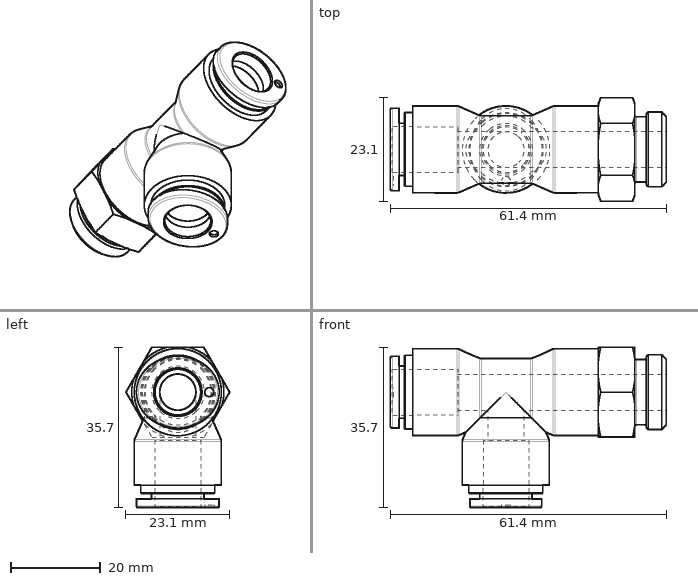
import cadquery as cq
import math

BORE_RADIUS = 8.0 / 2
SHELL_RADIUS = 19.4 / 2
WAIST_RADIUS = 15.0 / 2
CONE_INNER = 5.65
CONE_OUTER = 10.65
CONE_BLEND = 1.15
SOCKET_ARM = 20.7
STUD_ARM = 20.6

SOCKET_RADIUS = 10.15 / 2
SOCKET_BOTTOM = CONE_OUTER

COLLAR_RADIUS = 16.5 / 2
COLLAR_LENGTH = 1.85
COLLAR_CHAMFER = 0.2

RING_BORE_RADIUS = 10.2 / 2
RING_NECK_RADIUS = 11.7 / 2
RING_NECK_LENGTH = 1.2
RING_LONG_RADIUS = 18.4 / 2
RING_SHORT_RADIUS = 16.0 / 2
RING_FLANGE_LENGTH = 1.95
RING_EDGE_FILLET = 0.4
RING_MOUTH_CHAMFER = 0.3
DOT_RADIUS = 2.0 / 2
DOT_OFFSET = 7.0
DOT_DEPTH = 0.7

HEX_ACROSS_FLATS = 20.0
HEX_LENGTH = 8.1
HEX_FACE_RADIUS = 10.25
HEX_CHAMFER_DEPTH = 0.5
STUD_NECK_RADIUS = 14.6 / 2
STUD_NECK_LENGTH = 2.5
STUD_NECK_FILLET = 0.25
THREAD_RADIUS = 16.66 / 2
THREAD_LENGTH = 4.5
THREAD_INNER_CHAMFER = 0.45


def revolve_about_x(points):
    """Revolve a closed (x, radius) outline about the X axis."""
    return cq.Workplane("XY").polyline(points).close().revolve(360, (0, 0, 0), (1, 0, 0))


def x_cylinder(start, end, radius):
    return cq.Workplane("YZ").workplane(offset=start).circle(radius).extrude(end - start)


def turn_to_branch(shape):
    """Carry a shape from the -X arm to the -Z branch."""
    return shape.rotate((0, 0, 0), (0, 1, 0), -90)


def blend_edges(tube, x_first, x_last):
    """Fillet the round edges of a tube that lie between two X positions."""
    reach = 2 * SHELL_RADIUS
    zone = cq.selectors.BoxSelector(
        (x_first - CONE_BLEND, -reach, -reach),
        (x_last + CONE_BLEND, reach, reach),
    )
    return tube.edges("%CIRCLE").edges(zone).fillet(CONE_BLEND)


def make_main_tube():
    tube = revolve_about_x([
        (-SOCKET_ARM, 0),
        (-SOCKET_ARM, SHELL_RADIUS),
        (-CONE_OUTER, SHELL_RADIUS),
        (-CONE_INNER, WAIST_RADIUS),
        (CONE_INNER, WAIST_RADIUS),
        (CONE_OUTER, SHELL_RADIUS),
        (STUD_ARM, SHELL_RADIUS),
        (STUD_ARM, 0),
    ])
    return blend_edges(tube, -CONE_OUTER, CONE_OUTER)


def make_branch_tube():
    tube = revolve_about_x([
        (-SOCKET_ARM, 0),
        (-SOCKET_ARM, SHELL_RADIUS),
        (-CONE_OUTER, SHELL_RADIUS),
        (-CONE_INNER, WAIST_RADIUS),
        (0, WAIST_RADIUS),
        (0, 0),
    ])
    return turn_to_branch(blend_edges(tube, -CONE_OUTER, -CONE_OUTER))


def make_housing():
    main_bore = x_cylinder(-SOCKET_ARM, STUD_ARM, BORE_RADIUS)
    branch_bore = turn_to_branch(x_cylinder(-SOCKET_ARM, 0, BORE_RADIUS))
    socket = x_cylinder(-SOCKET_ARM, -SOCKET_BOTTOM, SOCKET_RADIUS)
    housing = make_main_tube().union(make_branch_tube())
    for cutter in (main_bore, branch_bore, socket, turn_to_branch(socket)):
        housing = housing.cut(cutter)
    return housing


def make_collar():
    outer_face = -SOCKET_ARM - COLLAR_LENGTH
    collar = x_cylinder(outer_face, -SOCKET_ARM, COLLAR_RADIUS)
    collar = collar.faces("<X").edges().chamfer(COLLAR_CHAMFER)
    return collar.cut(x_cylinder(outer_face, -SOCKET_ARM, RING_BORE_RADIUS))


def make_release_ring():
    neck_end = -SOCKET_ARM - COLLAR_LENGTH
    flange_back = neck_end - RING_NECK_LENGTH
    flange_front = flange_back - RING_FLANGE_LENGTH
    flange = (
        cq.Workplane("YZ").workplane(offset=flange_front)
        .ellipse(RING_LONG_RADIUS, RING_SHORT_RADIUS)
        .extrude(RING_FLANGE_LENGTH)
        .faces("<X").edges().fillet(RING_EDGE_FILLET)
    )
    ring = flange.union(x_cylinder(flange_back, neck_end, RING_NECK_RADIUS))
    ring = ring.cut(x_cylinder(flange_front, neck_end, RING_BORE_RADIUS))
    ring = ring.faces("<X").edges("%CIRCLE").chamfer(RING_MOUTH_CHAMFER)
    dot = x_cylinder(flange_front, flange_front + DOT_DEPTH, DOT_RADIUS)
    return ring.cut(dot.translate((0, -DOT_OFFSET, 0)))


def make_hexagon():
    corner_radius = HEX_ACROSS_FLATS / math.sqrt(3)
    hex_end = STUD_ARM + HEX_LENGTH
    prism = (
        cq.Workplane("YZ").workplane(offset=STUD_ARM)
        .polygon(6, 2 * corner_radius)
        .extrude(HEX_LENGTH)
    )
    chamfer_envelope = revolve_about_x([
        (STUD_ARM, 0),
        (STUD_ARM, HEX_FACE_RADIUS),
        (STUD_ARM + HEX_CHAMFER_DEPTH, corner_radius),
        (hex_end - HEX_CHAMFER_DEPTH, corner_radius),
        (hex_end, HEX_FACE_RADIUS),
        (hex_end, 0),
    ])
    return prism.intersect(chamfer_envelope)


def make_spigot():
    neck_start = STUD_ARM + HEX_LENGTH
    thread_start = neck_start + STUD_NECK_LENGTH
    thread_end = thread_start + THREAD_LENGTH
    end_chamfer = THREAD_RADIUS - STUD_NECK_RADIUS
    arc_rise = STUD_NECK_FILLET * (1 - math.sqrt(0.5))
    fillet_top = STUD_NECK_RADIUS + STUD_NECK_FILLET
    return (
        cq.Workplane("XY").moveTo(neck_start, 0)
        .lineTo(neck_start, fillet_top)
        .threePointArc(
            (neck_start + arc_rise, STUD_NECK_RADIUS + arc_rise),
            (neck_start + STUD_NECK_FILLET, STUD_NECK_RADIUS),
        )
        .lineTo(thread_start - STUD_NECK_FILLET, STUD_NECK_RADIUS)
        .threePointArc(
            (thread_start - arc_rise, STUD_NECK_RADIUS + arc_rise),
            (thread_start, fillet_top),
        )
        .lineTo(thread_start, THREAD_RADIUS - THREAD_INNER_CHAMFER)
        .lineTo(thread_start + THREAD_INNER_CHAMFER, THREAD_RADIUS)
        .lineTo(thread_end - end_chamfer, THREAD_RADIUS)
        .lineTo(thread_end, STUD_NECK_RADIUS)
        .lineTo(thread_end, 0)
        .close()
        .revolve(360, (0, 0, 0), (1, 0, 0))
    )


def make_stud():
    stud_end = STUD_ARM + HEX_LENGTH + STUD_NECK_LENGTH + THREAD_LENGTH
    stud = make_hexagon().union(make_spigot())
    return stud.cut(x_cylinder(STUD_ARM, stud_end, BORE_RADIUS))


housing = make_housing()
stud = make_stud()
collars = []
release_rings = []
for place in (lambda part: part, turn_to_branch):
    collars += place(make_collar()).solids().vals()
    release_rings += place(make_release_ring()).solids().vals()

result = cq.Compound.makeCompound([
    *housing.solids().vals(),
    *stud.solids().vals(),
    *collars,
    *release_rings,
])